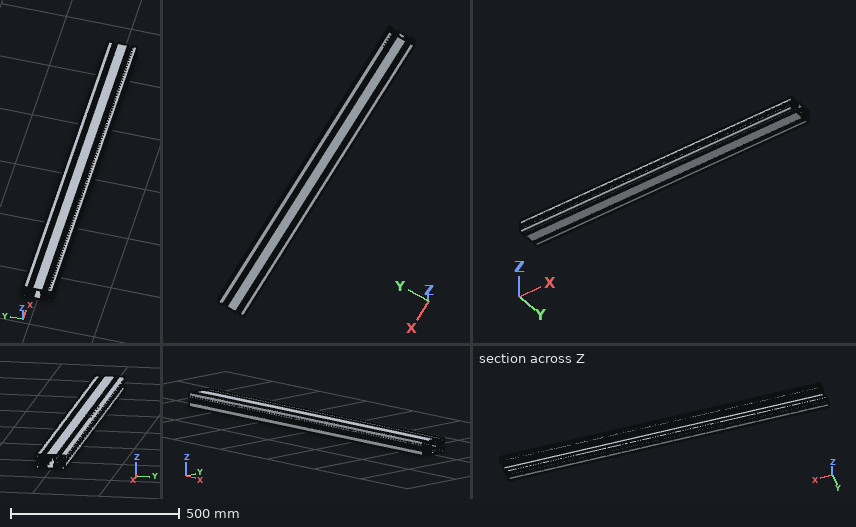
import cadquery as cq
import math

length = 1000.0
height = 45.0
width = 2 * height
half_width = width / 2
half_height = height / 2
cell_center = half_width - half_height
corner_radius = 3.0

slot_opening = 11.0
slot_cavity = 19.0
lip_radius = 1.0
lip_tip_depth = 7.2
lip_ramp_start = 7.5
corner_lip_depth = 4.0
hollow_lip_depth = 5.5

core_radius = 8.0
core_hole_diameter = 8.5
web_thickness = 2.0
flange_floor_slope = 22.5
side_floor_slope = 9

duct_side = 9.0
duct_wall = 2.0
duct_radius = 2.0

hollow_width = 21.0
hollow_height = 39.0
hollow_radius = 3.5
hollow_waist_width = 27.0
hollow_waist_height = 9.0


def rounded_prism(wide, high, radius, y=0, z=0):
    """Bar with a rounded rectangular section, running the whole length."""
    block = cq.Workplane("YZ").center(y, z).rect(wide, high).extrude(length)
    return block.edges("|X").fillet(radius)


def slot(left_lip_depth, right_lip_depth, floor_slope):
    """T-slot opening upward at y = 0; the lip depths are taken at the cavity walls.

    A lip's underside is flat beside the wall, then ramps down to a thicker tip.
    """
    opening = slot_opening / 2
    cavity = slot_cavity / 2
    web_rise = web_thickness / math.sqrt(2)
    web_foot = (core_radius - web_rise) / (1 + math.tan(math.radians(floor_slope)))
    arc_inset = lip_radius * (1 - math.sqrt(0.5))

    right = [
        (web_foot, web_foot + web_rise),
        (cavity, cavity + web_rise),
        (cavity, half_height - right_lip_depth),
        (lip_ramp_start, half_height - right_lip_depth),
        (opening, half_height - lip_tip_depth),
        (opening, half_height - lip_radius),
    ]
    left = [
        (-opening, half_height - lip_tip_depth),
        (-lip_ramp_start, half_height - left_lip_depth),
        (-cavity, half_height - left_lip_depth),
        (-cavity, cavity + web_rise),
        (-web_foot, web_foot + web_rise),
    ]
    profile = (
        cq.Workplane("YZ")
        .moveTo(0, core_radius)
        .polyline(right, includeCurrent=True)
        .threePointArc((opening + arc_inset, half_height - arc_inset), (opening + lip_radius, half_height))
        .lineTo(-opening - lip_radius, half_height)
        .threePointArc((-opening - arc_inset, half_height - arc_inset), (-opening, half_height - lip_radius))
        .polyline(left, includeCurrent=True)
        .close()
    )
    return profile.extrude(length)


def hollow():
    """Central hollow: a rounded rectangle joined to a waist with 45 degree shoulders."""
    waist_y = hollow_waist_width / 2
    waist_z = hollow_waist_height / 2
    shoulder_z = waist_z + waist_y
    waist = (
        cq.Workplane("YZ")
        .polyline([
            (waist_y, -waist_z),
            (waist_y, waist_z),
            (0, shoulder_z),
            (-waist_y, waist_z),
            (-waist_y, -waist_z),
            (0, -shoulder_z),
        ])
        .close()
        .extrude(length)
    )
    return rounded_prism(hollow_width, hollow_height, hollow_radius).union(waist)


def cell_cuts():
    """Slots, core hole and corner ducts of the cell on the +Y side."""
    top_slot = slot(hollow_lip_depth, corner_lip_depth, flange_floor_slope)
    bottom_slot = top_slot.mirror("XY")
    side_slot = slot(corner_lip_depth, corner_lip_depth, side_floor_slope)
    side_slot = side_slot.rotate((0, 0, 0), (1, 0, 0), -90)
    core_hole = cq.Workplane("YZ").circle(core_hole_diameter / 2).extrude(length)
    cuts = [top_slot, bottom_slot, side_slot, core_hole]

    duct_center = half_height - duct_wall - duct_side / 2
    for level in (-1, 1):
        cuts.append(rounded_prism(duct_side, duct_side, duct_radius, duct_center, level * duct_center))
    return [cut.translate((0, cell_center, 0)) for cut in cuts]


bar = rounded_prism(width, height, corner_radius).cut(hollow())
for cut in cell_cuts():
    bar = bar.cut(cut).cut(cut.mirror("XZ"))

result = bar.translate((-length / 2, 0, 0))